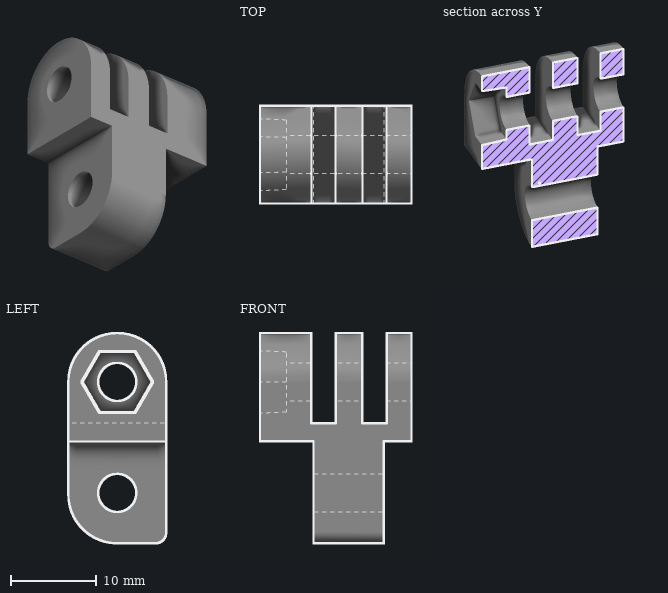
import cadquery as cq
import math

width = 17.75
depth = 11.48
height = 24.65
round_radius = depth / 2

stem_left = 6.25
stem_width = 8.25
shoulder_z = 11.95
stem_round_radius = round_radius
stem_corner_radius = 1.28

slot_lefts = (6.0, 11.98)
slot_width = 2.83
slot_floor_z = 14.1

hole_diameter = 4.44
upper_hole_z = height - round_radius
lower_hole_z = 5.91

nut_mouth_flats = 7.3
nut_floor_flats = 7.05
nut_depth = 3.08


def block(x_start, x_size, z_start, z_size):
    """Full-depth box placed by its left and bottom faces."""
    return cq.Workplane("XY").box(x_size, depth, z_size, centered=(False, True, False)).translate(
        (x_start, 0, z_start)
    )


def hexagon_corners(across_flats):
    """Corner points of a hexagon with two flats level."""
    corner_radius = across_flats / math.sqrt(3)
    return [
        (corner_radius * math.cos(i * math.pi / 3), corner_radius * math.sin(i * math.pi / 3))
        for i in range(6)
    ]


def cross_hole(z):
    """Round hole running the whole width."""
    return cq.Workplane("YZ").center(0, z).circle(hole_diameter / 2).extrude(width)


head = block(0, width, shoulder_z, upper_hole_z - shoulder_z)
head = head.union(cq.Workplane("YZ").center(0, upper_hole_z).circle(round_radius).extrude(width))
for slot_left in slot_lefts:
    head = head.cut(block(slot_left, slot_width, slot_floor_z, height - slot_floor_z))

stem = block(stem_left, stem_width, 0, shoulder_z)
stem = stem.edges("|X and >Y and <Z").fillet(stem_round_radius)
stem = stem.edges("|X and <Y and <Z").fillet(stem_corner_radius)

nut_pocket = (
    cq.Workplane("YZ")
    .center(0, upper_hole_z)
    .polyline(hexagon_corners(nut_mouth_flats))
    .close()
    .workplane(offset=nut_depth)
    .polyline(hexagon_corners(nut_floor_flats))
    .close()
    .loft(ruled=True)
)

result = head.union(stem).cut(nut_pocket)
for hole_z in (upper_hole_z, lower_hole_z):
    result = result.cut(cross_hole(hole_z))